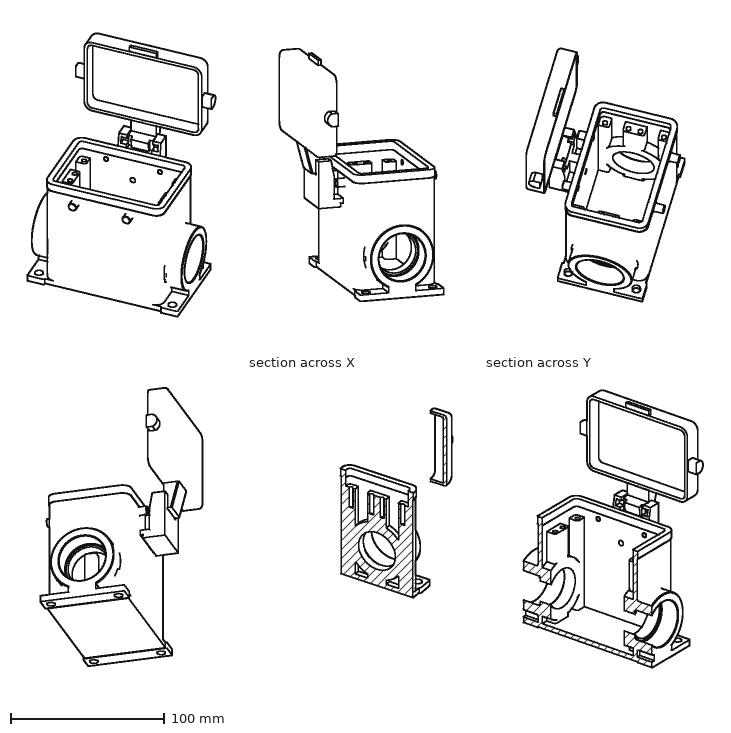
import cadquery as cq
import math

BODY_LENGTH = 82.7
BODY_WIDTH = 56.0
BODY_BOTTOM = 0.5
BODY_TOP = 81.8
BODY_CORNER_RADIUS = 6.0
RIM_HEIGHT = 5.7
RIM_STEP = 0.3
CAVITY_STEP = 0.2
WALL = 4.06
EMBED = 1.2
CAVITY_CORNER_RADIUS = 2.5
FLOOR_TOP = 4.3

RIM_BOTTOM = BODY_TOP - RIM_HEIGHT
WALL_LENGTH = BODY_LENGTH - 2 * RIM_STEP
WALL_WIDTH = BODY_WIDTH - 2 * RIM_STEP
CAVITY_LENGTH = BODY_LENGTH - 2 * WALL
CAVITY_WIDTH = BODY_WIDTH - 2 * WALL
LOWER_CAVITY_LENGTH = CAVITY_LENGTH - 2 * CAVITY_STEP
LOWER_CAVITY_WIDTH = CAVITY_WIDTH - 2 * CAVITY_STEP

FLANGE_HALF_SPAN = 53.0
FLANGE_WIDTH = 57.5
FLANGE_THICKNESS = 4.3
FLANGE_EDGE_RADIUS = 0.6
FLANGE_HOLE_X = 47.0
FLANGE_HOLE_Y = 23.0
FLANGE_HOLE_RADIUS = 2.8

COLLAR_AXIS_Z = 27.4
COLLAR_RADIUS = 21.6
COLLAR_NECK_WIDTH = 18.7
COLLAR_BASE_FILLET = 0.9
COLLAR_RIM_CHAMFER = 0.5
BORE_RADIUS = 16.0
BORE_DEPTH = 13.2
BORE_CHAMFER = 0.5
SEAT_RADIUS = 15.3
SEAT_DEPTH = 0.8
PORT_RADIUS = 14.0

POST_TOP = 69.8
POST_DEPTH = 7.2
CORNER_POST_WIDTH = 7.5
MIDDLE_POST_WIDTH = 14.5
POST_EDGE_RADIUS = 1.5
POST_HOLE_X = 32.8
CORNER_HOLE_Y = 19.9
MIDDLE_HOLE_Y = 4.0
POST_HOLE_RADIUS = 1.5
POST_HOLE_DEPTH = 15.3
POST_FACE_X = CAVITY_LENGTH / 2 - POST_DEPTH

PIN_X = 19.0
PIN_Z = 72.0
PIN_RADIUS = 2.8
PIN_REACH = 34.2
PIN_BASE_FILLET = 1.2
PIN_TIP_CHAMFER = 0.3
DIMPLE_RADIUS = 1.5
DIMPLE_DEPTH = 0.5

BRACKET_LENGTH = 29.7
BRACKET_REAR_Y = 44.7
BRACKET_FRONT_Y = 34.2
BRACKET_BOTTOM = 54.5
BRACKET_FOOT_BOTTOM = 57.0
BRACKET_FOOT_TOP = 60.2
BRACKET_HEEL_Y = 29.5
BRACKET_WEB_TOP = 76.0
BRACKET_TOP = 86.0
CHEEK_TOP_FRONT_Y = 36.0
RIB_THICKNESS = 6.1
CHEEK_GAP = 18.0
CHEEK_POCKET_LENGTH = 26.0
CHEEK_POCKET_BOTTOM = 79.3
CHEEK_POCKET_TOP = 83.8
CHEEK_POCKET_REAR_Y = 39.0
STUD_RADIUS = 1.8
STUD_Z = 60.3
REAR_WALL_Y = WALL_WIDTH / 2
REAR_WALL_INSIDE_Y = LOWER_CAVITY_WIDTH / 2

LID_HEIGHT = 54.8
LID_CENTRE_Z = 122.2
LID_FRONT_Y = 41.0
LID_REAR_Y = 53.6
LID_CORNER_RADIUS = 5.8
LID_WALL = 2.3
LID_POCKET_DEPTH = 9.5
LID_REAR_FILLET = 2.1
LID_BOTTOM = LID_CENTRE_Z - LID_HEIGHT / 2
LID_TOP = LID_CENTRE_Z + LID_HEIGHT / 2

TAB_LENGTH = 19.0
TAB_THICKNESS = 2.1
TAB_SETBACK = 0.2
TAB_TOP = 153.2

LUG_HALF_SPAN = 47.8
LUG_HEIGHT = 8.7
LUG_EDGE_RADIUS = 0.8
LUG_FRONT_Y = 42.1
LUG_SHOULDER_Y = 46.4
LUG_REAR_Y = 49.5

ARM_LENGTH = 17.8
ARM_FRONT_Y = 42.0
ARM_REAR_Y = 47.5
ARM_ROOT_REAR_Y = 52.5
ARM_BOTTOM = 76.9
ARM_REAR_CHAMFER = 0.8
NOSE_TOP = 85.6
NOSE_SHOULDER_Z = 84.5
NOSE_FRONT_Y = 38.0
KNUCKLE_LENGTH = 12.3
KNUCKLE_TOP = 83.6
KNUCKLE_FRONT_Y = 35.4
KNUCKLE_FOOT_Y = 36.1


def block(x_range, y_range, z_range):
    """Box between the given limits."""
    (x0, x1), (y0, y1), (z0, z1) = x_range, y_range, z_range
    return cq.Workplane("XY").box(x1 - x0, y1 - y0, z1 - z0, centered=False).translate((x0, y0, z0))


def centred_block(length, y_range, z_range):
    """Box that is symmetric about the YZ plane."""
    return block((-length / 2, length / 2), y_range, z_range)


def rounded_prism(length, width, z_range, radius):
    """Upright prism with rounded vertical corners."""
    z0, z1 = z_range
    prism = cq.Workplane("XY").workplane(offset=z0).rect(length, width).extrude(z1 - z0)
    return prism.edges("|Z").fillet(radius)


def side_profile(points, length):
    """Outline of (y, z) points, extruded symmetrically along X."""
    return cq.Workplane("YZ").polyline(points).close().extrude(length / 2, both=True)


def rod_x(radius, x0, x1):
    """Cylinder on the collar axis, between two X positions."""
    return cq.Workplane("YZ", origin=(x0, 0, COLLAR_AXIS_Z)).circle(radius).extrude(x1 - x0)


def flared_stub(radius, embed, root, tip, flare, tip_chamfer):
    """Round stub along +Z, sunk below its root plane, flared at the root and bevelled at the tip."""
    wide = radius + flare
    arc_middle = flare * (1 - math.sqrt(0.5))
    profile = (
        cq.Workplane("XZ")
        .moveTo(0, root - embed)
        .lineTo(wide, root - embed)
        .lineTo(wide, root)
        .threePointArc((radius + arc_middle, root + arc_middle), (radius, root + flare))
        .lineTo(radius, tip - tip_chamfer)
        .lineTo(radius - tip_chamfer, tip)
        .lineTo(0, tip)
        .close()
    )
    return profile.revolve(360, (0, 0, 0), (0, 1, 0))


def both_ends(body):
    """The body together with its mirror image about the YZ plane."""
    return body.union(body.mirror("YZ"))


def make_shell():
    wall = rounded_prism(WALL_LENGTH, WALL_WIDTH, (BODY_BOTTOM, RIM_BOTTOM), BODY_CORNER_RADIUS)
    rim = rounded_prism(BODY_LENGTH, BODY_WIDTH, (RIM_BOTTOM, BODY_TOP), BODY_CORNER_RADIUS)
    base = centred_block(WALL_LENGTH, (-WALL_WIDTH / 2, WALL_WIDTH / 2), (BODY_BOTTOM, FLOOR_TOP))
    return wall.union(rim).union(base)


def make_cavity():
    lower = rounded_prism(
        LOWER_CAVITY_LENGTH, LOWER_CAVITY_WIDTH, (FLOOR_TOP, RIM_BOTTOM), CAVITY_CORNER_RADIUS
    )
    upper = rounded_prism(CAVITY_LENGTH, CAVITY_WIDTH, (RIM_BOTTOM, BODY_TOP), CAVITY_CORNER_RADIUS)
    return lower.union(upper)


def make_flange():
    flange = block(
        (WALL_LENGTH / 2, FLANGE_HALF_SPAN),
        (-FLANGE_WIDTH / 2, FLANGE_WIDTH / 2),
        (0, FLANGE_THICKNESS),
    )
    flange = flange.edges("|Z").fillet(FLANGE_EDGE_RADIUS)
    holes = (
        cq.Workplane("XY")
        .pushPoints([(FLANGE_HOLE_X, FLANGE_HOLE_Y), (FLANGE_HOLE_X, -FLANGE_HOLE_Y)])
        .circle(FLANGE_HOLE_RADIUS)
        .extrude(FLANGE_THICKNESS)
    )
    return flange.cut(holes)


def make_collar():
    """Outer collar and its neck down to the flange."""
    wall_x = WALL_LENGTH / 2
    collar = flared_stub(
        COLLAR_RADIUS, EMBED, wall_x, FLANGE_HALF_SPAN, COLLAR_BASE_FILLET, COLLAR_RIM_CHAMFER
    )
    collar = collar.rotate((0, 0, 0), (0, 1, 0), 90).translate((0, 0, COLLAR_AXIS_Z))
    neck = block(
        (wall_x, FLANGE_HALF_SPAN),
        (-COLLAR_NECK_WIDTH / 2, COLLAR_NECK_WIDTH / 2),
        (0, COLLAR_AXIS_Z - BORE_RADIUS),
    )
    return collar.union(neck)


def make_port():
    """Stepped bore through a collar and the end wall."""
    seat_x = FLANGE_HALF_SPAN - BORE_DEPTH
    bore = rod_x(BORE_RADIUS, seat_x, FLANGE_HALF_SPAN)
    mouth = cq.Workplane(
        cq.Solid.makeCone(
            BORE_RADIUS,
            BORE_RADIUS + BORE_CHAMFER,
            BORE_CHAMFER,
            cq.Vector(FLANGE_HALF_SPAN - BORE_CHAMFER, 0, COLLAR_AXIS_Z),
            cq.Vector(1, 0, 0),
        )
    )
    seat = rod_x(SEAT_RADIUS, seat_x - SEAT_DEPTH, seat_x)
    port = rod_x(PORT_RADIUS, 0, seat_x)
    return bore.union(mouth).union(seat).union(port)


def make_posts():
    """Screw posts along one end wall, with the inner boss of the port between them."""
    x_range = (POST_FACE_X, CAVITY_LENGTH / 2 + EMBED)
    z_range = (BODY_BOTTOM, POST_TOP)
    corner_inner_y = CAVITY_WIDTH / 2 - CORNER_POST_WIDTH
    corner_outer_y = CAVITY_WIDTH / 2 + EMBED
    middle = block(x_range, (-MIDDLE_POST_WIDTH / 2, MIDDLE_POST_WIDTH / 2), z_range)
    middle = middle.edges("|Z and <X").fillet(POST_EDGE_RADIUS)
    rear = block(x_range, (corner_inner_y, corner_outer_y), z_range)
    rear = rear.edges("|Z and <X and <Y").fillet(POST_EDGE_RADIUS)
    front = rear.mirror("XZ")
    boss = rod_x(COLLAR_RADIUS, *x_range)
    return middle.union(rear).union(front).union(boss)


def make_post_holes():
    hole_ys = (-CORNER_HOLE_Y, -MIDDLE_HOLE_Y, MIDDLE_HOLE_Y, CORNER_HOLE_Y)
    return (
        cq.Workplane("XY", origin=(0, 0, POST_TOP))
        .pushPoints([(POST_HOLE_X, y) for y in hole_ys])
        .circle(POST_HOLE_RADIUS)
        .extrude(-POST_HOLE_DEPTH)
    )


def make_pin_pair():
    """Locking pin on the rear wall and its opposite on the front wall."""
    pin = flared_stub(
        PIN_RADIUS, EMBED, WALL_WIDTH / 2, PIN_REACH, PIN_BASE_FILLET, PIN_TIP_CHAMFER
    )
    pin = pin.rotate((0, 0, 0), (1, 0, 0), -90).translate((PIN_X, 0, PIN_Z))
    return pin.union(pin.mirror("XZ"))


def make_dimple_pair():
    """Shallow recesses inside the two long walls, behind the locking pins."""
    half_span = REAR_WALL_INSIDE_Y + DIMPLE_DEPTH
    return (
        cq.Workplane("XZ", origin=(PIN_X, 0, PIN_Z))
        .circle(DIMPLE_RADIUS)
        .extrude(half_span, both=True)
    )


def make_stud():
    """Stud of the bracket, reaching through the rear wall."""
    return (
        cq.Workplane("XZ", origin=(0, REAR_WALL_INSIDE_Y, STUD_Z))
        .circle(STUD_RADIUS)
        .extrude(REAR_WALL_INSIDE_Y - REAR_WALL_Y)
    )


def make_housing():
    outside = make_shell().union(both_ends(make_flange().union(make_collar())))
    outside = outside.union(both_ends(make_pin_pair()))
    hollow = make_cavity().union(both_ends(make_dimple_pair()))
    holes = make_port().union(make_post_holes())
    box = outside.cut(hollow).union(both_ends(make_posts()))
    return box.cut(both_ends(holes)).cut(make_stud())


def make_bracket():
    foot = side_profile(
        [
            (BRACKET_REAR_Y, BRACKET_BOTTOM),
            (BRACKET_REAR_Y, BRACKET_FOOT_TOP),
            (REAR_WALL_Y, BRACKET_FOOT_TOP),
            (REAR_WALL_Y, BRACKET_FOOT_BOTTOM),
            (BRACKET_HEEL_Y, BRACKET_FOOT_BOTTOM),
            (BRACKET_HEEL_Y, BRACKET_BOTTOM),
        ],
        BRACKET_LENGTH,
    )
    upright = side_profile(
        [
            (BRACKET_REAR_Y, BRACKET_FOOT_TOP),
            (BRACKET_REAR_Y, BRACKET_TOP),
            (CHEEK_TOP_FRONT_Y, BRACKET_TOP),
            (BRACKET_FRONT_Y, BRACKET_WEB_TOP),
            (BRACKET_FRONT_Y, BRACKET_FOOT_TOP),
        ],
        BRACKET_LENGTH,
    )
    rib = centred_block(
        RIB_THICKNESS, (REAR_WALL_Y, BRACKET_REAR_Y), (BRACKET_FOOT_TOP, BRACKET_WEB_TOP)
    )
    gap = centred_block(
        CHEEK_GAP, (REAR_WALL_Y, BRACKET_REAR_Y), (BRACKET_WEB_TOP, BRACKET_TOP)
    )
    pocket = centred_block(
        CHEEK_POCKET_LENGTH,
        (REAR_WALL_Y, CHEEK_POCKET_REAR_Y),
        (CHEEK_POCKET_BOTTOM, CHEEK_POCKET_TOP),
    )
    return foot.union(upright).union(rib).cut(gap).cut(pocket).union(make_stud())


def make_lid_tray():
    def slab(inset, depth_range):
        y0, y1 = depth_range
        outline = cq.Workplane("XZ", origin=(0, y1, LID_CENTRE_Z)).rect(
            BODY_LENGTH - 2 * inset, LID_HEIGHT - 2 * inset
        )
        return outline.extrude(y1 - y0).edges("|Y").fillet(LID_CORNER_RADIUS - inset)

    tray = slab(0, (LID_FRONT_Y, LID_REAR_Y)).faces(">Y").edges().fillet(LID_REAR_FILLET)
    return tray.cut(slab(LID_WALL, (LID_FRONT_Y, LID_FRONT_Y + LID_POCKET_DEPTH)))


def make_lid_lugs():
    """D-shaped lugs on both short sides, rounded towards the rear."""
    half_height = LUG_HEIGHT / 2
    lug = (
        cq.Workplane("YZ", origin=(BODY_LENGTH / 2 - LID_WALL / 2, 0, LID_CENTRE_Z))
        .moveTo(LUG_FRONT_Y, -half_height)
        .lineTo(LUG_SHOULDER_Y, -half_height)
        .threePointArc((LUG_REAR_Y, 0), (LUG_SHOULDER_Y, half_height))
        .lineTo(LUG_FRONT_Y, half_height)
        .close()
        .extrude(LUG_HALF_SPAN - BODY_LENGTH / 2 + LID_WALL / 2)
    )
    lug = lug.edges("|X and <Y").fillet(LUG_EDGE_RADIUS)
    return both_ends(lug)


def make_lid_arm():
    """Hinge arm under the lid, with a nose that lies between the bracket's cheeks."""
    root_z = LID_BOTTOM + LID_WALL / 2
    arm = side_profile(
        [
            (ARM_FRONT_Y, root_z),
            (ARM_FRONT_Y, ARM_BOTTOM),
            (ARM_REAR_Y, ARM_BOTTOM),
            (ARM_ROOT_REAR_Y, root_z),
        ],
        ARM_LENGTH,
    )
    arm = arm.faces(">Y").edges("not |X").chamfer(ARM_REAR_CHAMFER)
    nose = side_profile(
        [
            (ARM_FRONT_Y, NOSE_TOP),
            (NOSE_FRONT_Y, NOSE_SHOULDER_Z),
            (NOSE_FRONT_Y, ARM_BOTTOM),
            (ARM_FRONT_Y, ARM_BOTTOM),
        ],
        ARM_LENGTH,
    )
    knuckle = side_profile(
        [
            (NOSE_FRONT_Y, NOSE_SHOULDER_Z),
            (KNUCKLE_FRONT_Y, KNUCKLE_TOP),
            (KNUCKLE_FOOT_Y, ARM_BOTTOM),
            (NOSE_FRONT_Y, ARM_BOTTOM),
        ],
        KNUCKLE_LENGTH,
    )
    return arm.union(nose).union(knuckle)


def make_lid():
    tab_front_y = LID_FRONT_Y + TAB_SETBACK
    tab = centred_block(
        TAB_LENGTH, (tab_front_y, tab_front_y + TAB_THICKNESS), (LID_TOP - LID_WALL / 2, TAB_TOP)
    )
    return make_lid_tray().union(tab).union(make_lid_lugs()).union(make_lid_arm())


housing = make_housing()
bracket = make_bracket()
lid = make_lid()

result = cq.Compound.makeCompound([housing.val(), bracket.val(), lid.val()])